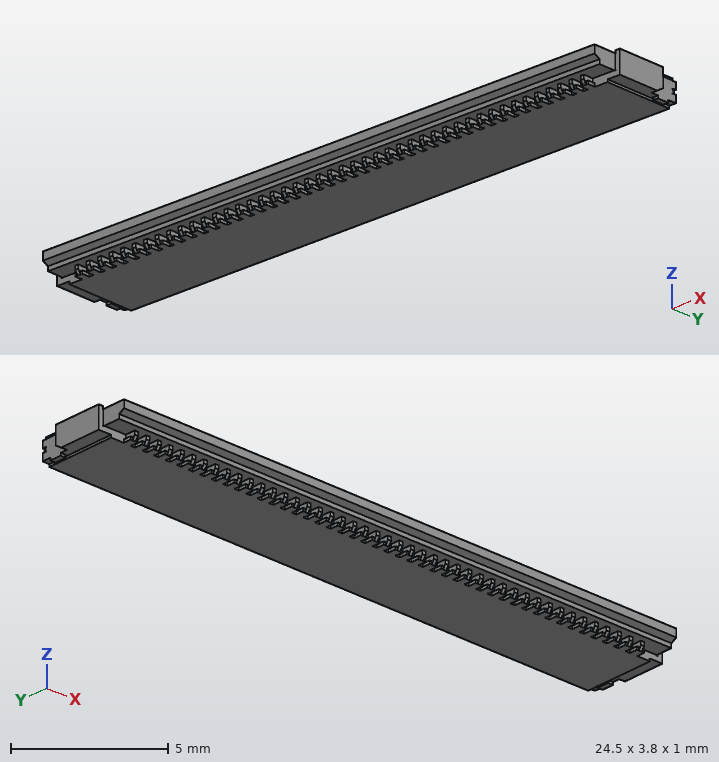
import cadquery as cq

length = 24.5
depth = 3.8
height = 1.0
back_y = depth / 2
front_y = -depth / 2

ear_front_y = -0.98
ear_back_y = 1.03
ear_inset = 0.25
ear_bottom_z = 0.1
ear_bevel_run = 0.27
ear_bevel_rise = 0.17
rear_width = length - 2 * ear_inset
floor_width = 23.42
floor_top_z = 0.32

ledge_width = 0.15
ledge_z = 0.83
lip_depth = 0.1
lip_drop = 0.1
lip_length = 23.32

recess_back_y = 0.05
recess_drop = 0.17
recess_width = length - 0.4

plate_width = rear_width
plate_top_z = 0.93
plate_back_y = -0.47
plate_nose_z = 0.61
plate_heel_y = -1.67
plate_heel_z = 0.5

contact_count = 45
contact_span = 22.0
contact_pitch = contact_span / (contact_count - 1)
contact_width = 0.15
contact_tip_y = -1.4
foot_tip_y = -1.3
contact_kink_z = 0.17
contact_root_y = -0.74
foot_width = 0.32
foot_height = 0.12

tab_width = 0.22
tab_front_y = 1.05
tab_back_y = 1.55

notch_depth = 0.07
notch_length = 0.15
notch_bottom_z = 0.4
notch_top_z = 0.56


def block(width, y_range, z_range, center_x=0.0):
    """Axis-aligned block of the given X width between two Y and two Z levels."""
    y_low, y_high = y_range
    z_low, z_high = z_range
    return cq.Workplane("XY").box(width, y_high - y_low, z_high - z_low).translate(
        (center_x, (y_low + y_high) / 2, (z_low + z_high) / 2)
    )


def extruded_profile(points, width, center_x=0.0):
    """Side profile of (Y, Z) points extruded along X, centred on center_x."""
    profile = cq.Workplane("YZ").polyline(points).close()
    return profile.extrude(width / 2, both=True).translate((center_x, 0, 0))


def make_housing():
    middle = extruded_profile(
        [
            (ear_front_y, ear_bottom_z),
            (ear_back_y - ear_bevel_run, ear_bottom_z),
            (ear_back_y, ear_bottom_z + ear_bevel_rise),
            (ear_back_y, height),
            (ear_front_y, height),
        ],
        length,
    )
    rear = block(rear_width, (0, back_y), (ear_bottom_z, ledge_z))
    rear_top = block(rear_width - 2 * ledge_width, (0, back_y), (ledge_z, height))
    floor = block(floor_width, (ear_front_y, back_y), (0, floor_top_z))
    back_lip = block(lip_length, (back_y - lip_depth, back_y), (height - lip_drop, height))
    housing = middle.union(rear).union(rear_top).union(floor).cut(back_lip)
    recess = block(recess_width, (ear_front_y, recess_back_y), (floor_top_z, height))
    return housing.cut(recess)


def make_actuator():
    hinge = block(recess_width, (plate_back_y, recess_back_y), (floor_top_z, height - recess_drop))
    plate = extruded_profile(
        [
            (plate_back_y, plate_top_z),
            (front_y, plate_top_z),
            (front_y, plate_nose_z),
            (plate_heel_y, plate_heel_z),
            (plate_heel_y, floor_top_z),
            (plate_back_y, floor_top_z),
        ],
        plate_width,
    )
    return hinge.union(plate)


def contact_row(make_one):
    """Compound of one shape repeated at every contact position."""
    shapes = []
    for index in range(contact_count):
        center_x = index * contact_pitch - contact_span / 2
        shapes.append(make_one(center_x).val())
    return cq.Workplane(cq.Compound.makeCompound(shapes))


def make_foot(center_x):
    return block(foot_width, (foot_tip_y, contact_root_y), (0, foot_height), center_x)


def make_contact(center_x):
    return extruded_profile(
        [
            (contact_root_y, 0),
            (foot_tip_y, 0),
            (contact_tip_y, contact_kink_z),
            (contact_tip_y, floor_top_z),
            (contact_root_y, floor_top_z),
        ],
        contact_width,
        center_x,
    )


def make_rear_tab(side):
    tab_x = side * (rear_width - tab_width) / 2
    return block(tab_width, (tab_front_y, tab_back_y), (0, floor_top_z), tab_x)


def make_end_notch(side):
    notch_x = side * (rear_width - notch_depth) / 2
    return block(notch_depth, (back_y - notch_length, back_y), (notch_bottom_z, notch_top_z), notch_x)


result = make_housing().union(make_actuator())
result = result.union(contact_row(make_contact)).union(contact_row(make_foot))
for end in (-1, 1):
    result = result.union(make_rear_tab(end)).cut(make_end_notch(end))